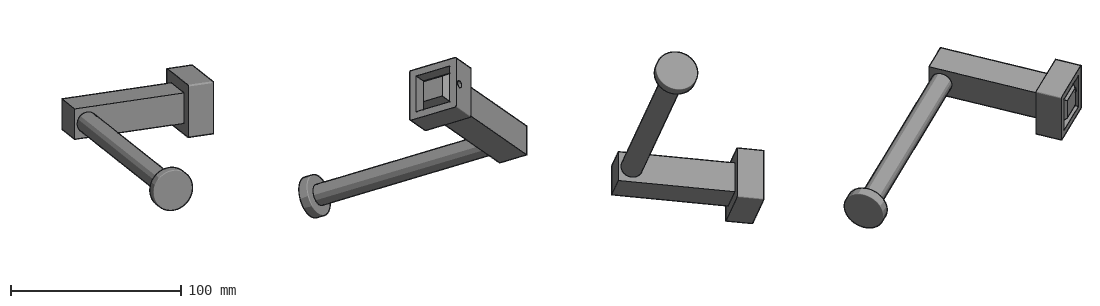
import cadquery as cq
import math

overall_length = 153.8
overall_depth = 90.5

mount_side = 32.8
mount_depth = 16.0
mount_edge_radius = 1.0
mount_wall = 4.6
pocket_depth = 7.7
pocket_side = mount_side - 2 * mount_wall

screw_hole_diameter = 4.3
screw_hole_from_wall = 3.5

bracket_slope_degrees = 34.2
bracket_front_side = pocket_side
bracket_back_side = bracket_front_side - 2 * pocket_depth * math.tan(math.radians(bracket_slope_degrees))

arm_side = 19.1
arm_end_from_wall = 86.0

bar_diameter = 13.0
disc_diameter = 25.1
disc_thickness = 6.3
disc_edge_radius = 0.5

bar_start_x = arm_side / 2
disc_outer_x = overall_length - mount_side / 2
disc_inner_x = disc_outer_x - disc_thickness
bar_axis_y = disc_diameter / 2 - overall_depth


def square_bar(side, y_back, length):
    """A square bar on the Y axis, from y_back toward -Y."""
    return cq.Workplane("XZ", origin=(0, y_back, 0)).rect(side, side).extrude(length)


def round_bar(diameter, start, length):
    """A round bar from the point start toward +X."""
    return cq.Workplane("YZ", origin=start).circle(diameter / 2).extrude(length)


def make_mount():
    block = square_bar(mount_side, 0, mount_depth).edges("|Y").fillet(mount_edge_radius)
    pocket = square_bar(pocket_side, 0, pocket_depth)
    screw_hole = round_bar(screw_hole_diameter, (-mount_side / 2, -screw_hole_from_wall, 0), mount_wall)
    return block.cut(pocket).cut(screw_hole)


def make_wall_bracket():
    return (
        cq.Workplane("XZ")
        .rect(bracket_back_side, bracket_back_side)
        .workplane(offset=pocket_depth)
        .rect(bracket_front_side, bracket_front_side)
        .loft(ruled=True)
    )


def make_arm():
    return square_bar(arm_side, -mount_depth, arm_end_from_wall - mount_depth)


def make_bar():
    return round_bar(bar_diameter, (bar_start_x, bar_axis_y, 0), disc_inner_x - bar_start_x)


def make_end_disc():
    disc = round_bar(disc_diameter, (disc_inner_x, bar_axis_y, 0), disc_thickness)
    return disc.faces("<X or >X").edges().fillet(disc_edge_radius)


mount = make_mount()
wall_bracket = make_wall_bracket()
arm = make_arm()
bar = make_bar()
end_disc = make_end_disc()

result = cq.Compound.makeCompound(
    [mount.val(), wall_bracket.val(), arm.val(), bar.val(), end_disc.val()]
)